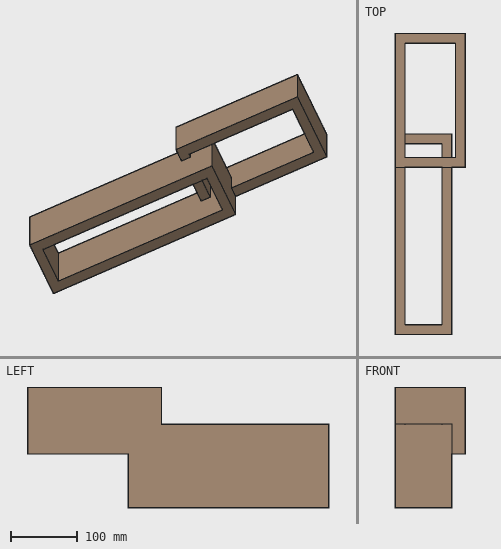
import cadquery as cq

wall = 15.0

lower_width = 85.0
lower_length = 300.0
lower_height = 125.0

upper_width = 105.0
upper_length = 200.0
upper_height = 100.0

overlap_length = 50.0
overlap_height = 45.0

upper_start_y = lower_length - overlap_length
upper_start_z = lower_height - overlap_height


def open_frame(width, length, height, start_y, start_z):
    """Four upright walls, open above and below, with a corner at (0, start_y, start_z)."""
    outside = cq.Workplane("XY").box(width, length, height, centered=False)
    opening = (
        cq.Workplane("XY")
        .box(width - 2 * wall, length - 2 * wall, height, centered=False)
        .translate((wall, wall, 0))
    )
    return outside.cut(opening).translate((0, start_y, start_z))


lower_frame = open_frame(lower_width, lower_length, lower_height, 0, 0)
upper_frame = open_frame(
    upper_width, upper_length, upper_height, upper_start_y, upper_start_z
)

result = lower_frame.union(upper_frame)